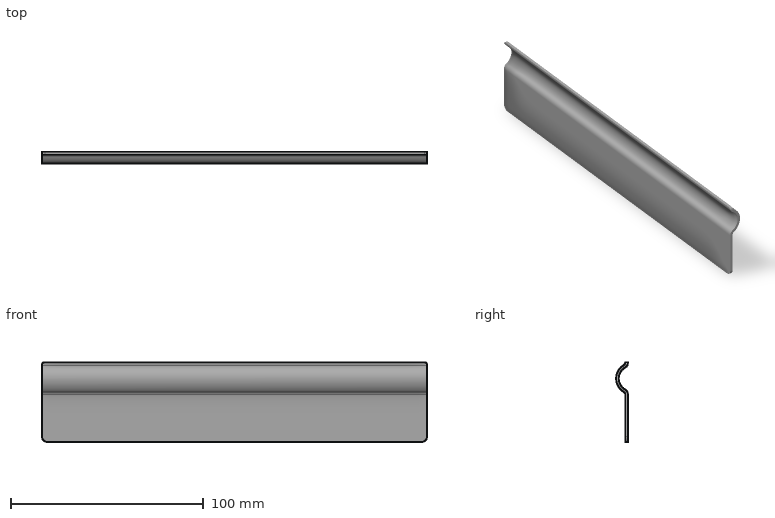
import cadquery as cq
import math

length = 200.0
height = 41.5
depth = 6.25
thickness = 1.5

bead_radius = 8.0
bead_center_z = 33.0
bend_radius = 1.5

bottom_corner_radius = 3.0
top_corner_radius = 1.5

bead_center_y = bead_radius - depth
bead_back_radius = bead_radius - thickness
bend_center_y = -thickness - bend_radius
bend_back_radius = bend_radius + thickness

bend_offset_y = bead_center_y - bend_center_y
bend_offset_z = math.sqrt((bead_radius + bend_radius) ** 2 - bend_offset_y**2)
bend_angle = math.atan2(bend_offset_z, bend_offset_y)
lower_bend_z = bead_center_z - bend_offset_z
upper_bend_z = bead_center_z + bend_offset_z


def bead_point(radius, angle):
    """Point on a bead circle; angle is measured from -Y toward +Z."""
    return (
        bead_center_y - radius * math.cos(angle),
        bead_center_z + radius * math.sin(angle),
    )


def bend_point(radius, angle, center_z, side):
    """Point on a bend circle; angle is from +Y toward +Z (side 1) or -Z (side -1)."""
    return (
        bend_center_y + radius * math.cos(angle),
        center_z + side * radius * math.sin(angle),
    )


def make_sheet():
    """Bent sheet section in the YZ plane, extruded along the full length."""
    half_angle = bend_angle / 2
    section = (
        cq.Workplane("YZ")
        .moveTo(0, 0)
        .lineTo(0, lower_bend_z)
        .threePointArc(
            bend_point(bend_back_radius, half_angle, lower_bend_z, 1),
            bead_point(bead_back_radius, -bend_angle),
        )
        .threePointArc(bead_point(bead_back_radius, 0), bead_point(bead_back_radius, bend_angle))
        .threePointArc(
            bend_point(bend_back_radius, half_angle, upper_bend_z, -1),
            (0, upper_bend_z),
        )
        .lineTo(0, height)
        .lineTo(-thickness, height)
        .lineTo(-thickness, upper_bend_z)
        .threePointArc(
            bend_point(bend_radius, half_angle, upper_bend_z, -1),
            bead_point(bead_radius, bend_angle),
        )
        .threePointArc(bead_point(bead_radius, 0), bead_point(bead_radius, -bend_angle))
        .threePointArc(
            bend_point(bend_radius, half_angle, lower_bend_z, 1),
            (-thickness, lower_bend_z),
        )
        .lineTo(-thickness, 0)
        .close()
    )
    return section.extrude(length / 2, both=True)


def make_face_outline():
    """Block with the rounded face-on outline of the strip, deeper than the sheet."""
    block = cq.Workplane("XY").box(length, 2 * depth, height).translate((0, -depth / 2, height / 2))
    block = block.edges("|Y and <Z").fillet(bottom_corner_radius)
    return block.edges("|Y and >Z").fillet(top_corner_radius)


result = make_sheet().intersect(make_face_outline())